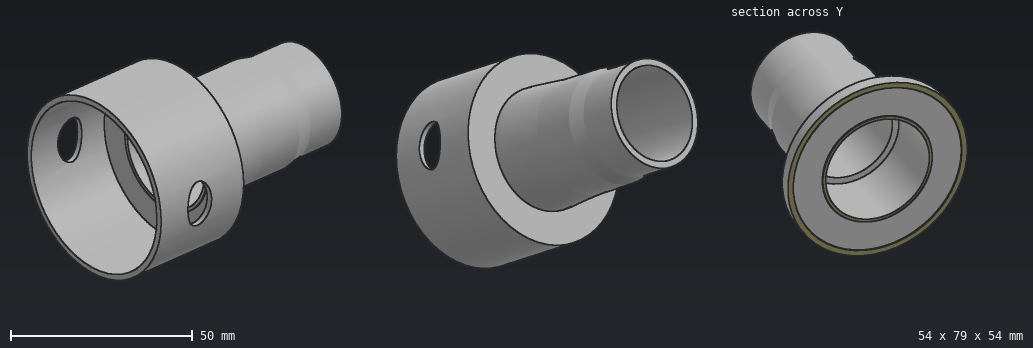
import cadquery as cq

total_length = 79.0

cup_diameter = 54.0
cup_bore_diameter = 50.5
cup_length = 31.1
cup_floor_thickness = 3.6
cup_depth = cup_length - cup_floor_thickness

collar_diameter = 35.0
body_diameter = 33.0
tip_diameter = 31.0
collar_end = 33.0
body_start = 47.95
body_end = 62.0
tip_start = 67.1

lip_diameter = body_diameter
seat_diameter = tip_diameter
passage_diameter = 27.0
lip_height = 0.4
lip_face = cup_depth - lip_height
seat_end = body_start

window_length = 8.9
window_height = 13.6
window_center = 14.5


def make_turned_body():
    """Revolve the half section, given as (radius, distance from the mouth)."""
    outer = [
        (cup_diameter / 2, 0),
        (cup_diameter / 2, cup_length),
        (collar_diameter / 2, cup_length),
        (collar_diameter / 2, collar_end),
        (body_diameter / 2, body_start),
        (body_diameter / 2, body_end),
        (tip_diameter / 2, tip_start),
        (tip_diameter / 2, total_length),
    ]
    inner = [
        (passage_diameter / 2, total_length),
        (passage_diameter / 2, seat_end),
        (seat_diameter / 2, seat_end),
        (seat_diameter / 2, lip_face),
        (lip_diameter / 2, lip_face),
        (lip_diameter / 2, cup_depth),
        (cup_bore_diameter / 2, cup_depth),
        (cup_bore_diameter / 2, 0),
    ]
    section = cq.Workplane("XY").polyline(outer + inner).close()
    return section.revolve(360, (0, 0, 0), (0, 1, 0))


def make_windows():
    """Oval cutter that crosses the whole cup along X."""
    return (
        cq.Workplane("YZ")
        .center(window_center, 0)
        .ellipse(window_length / 2, window_height / 2)
        .extrude(cup_diameter, both=True)
    )


result = make_turned_body().cut(make_windows())